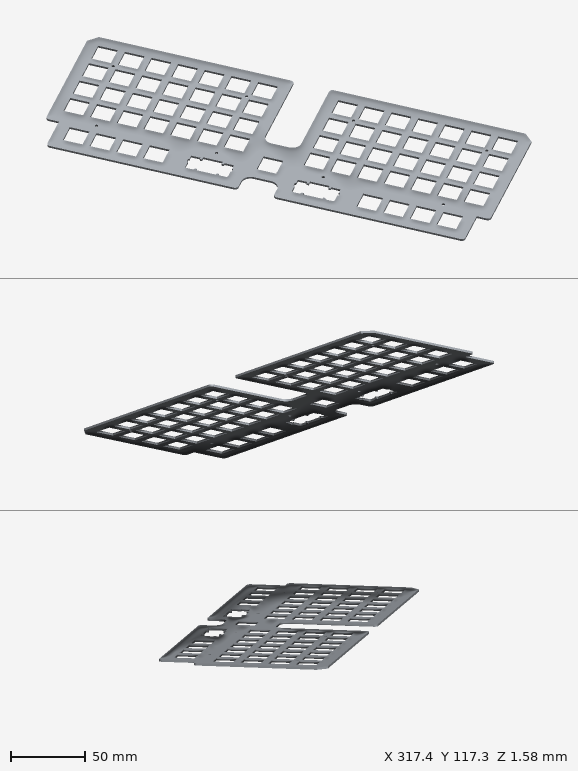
import cadquery as cq

LENGTH = 317.43
WIDTH = 117.35
THICKNESS = 1.58
HALF_LENGTH = LENGTH / 2
HALF_WIDTH = WIDTH / 2

PITCH = 19.055
SWITCH = 14.0
COLUMNS = 7
ROWS = 4
TOP_MARGIN = 15.75
INNER_COLUMN_X = 1.5 * PITCH
OUTER_COLUMN_X = INNER_COLUMN_X + (COLUMNS - 1) * PITCH
SIDE_MARGIN = HALF_LENGTH - OUTER_COLUMN_X
TOP_ROW_Y = HALF_WIDTH - TOP_MARGIN
LAST_ROW_Y = TOP_ROW_Y - (ROWS - 1) * PITCH
BOTTOM_ROW_Y = LAST_ROW_Y - 1.5 * PITCH
CENTER_KEY_Y = (LAST_ROW_Y + BOTTOM_ROW_Y) / 2
BOTTOM_KEY_UNITS = (4, 5, 6, 7)

CORNER_CHAMFER = 6.35
CORNER_RADIUS = 2.5
SLOT_RADIUS = 6.5
SLOT_HALF_WIDTH = INNER_COLUMN_X - SIDE_MARGIN
SLOT_FLOOR_Y = CENTER_KEY_Y + 21.5
NOTCH_TOP_Y = CENTER_KEY_Y - 15.5
STEP_X = HALF_LENGTH - PITCH / 2
STEP_Y = LAST_ROW_Y - 18.6

HOLE_DIAMETER = 2.2
UPPER_HOLE_Y = TOP_ROW_Y - PITCH / 2
HOLE_CENTERS = [
    (2 * PITCH, UPPER_HOLE_Y),
    (7 * PITCH, UPPER_HOLE_Y),
    (2 * PITCH, CENTER_KEY_Y),
    (6.5 * PITCH, CENTER_KEY_Y),
]

STABILIZER_X = 2 * PITCH
WING_OFFSET = 11.9
WING_WIDTH = 6.65
WING_TOP = 6.0
WING_BOTTOM = -7.0
WING_RADIUS = 1.4
NECK_TOP = 4.73
NECK_BOTTOM = -5.6
WIRE_SLOT_HALF_LENGTH = 16.1
WIRE_SLOT_TOP = 2.3
WIRE_SLOT_BOTTOM = -0.5


def with_mirror(points):
    """The points together with their mirror images across the YZ plane."""
    return points + [(-x, y) for x, y in points]


def round_corners(body, corners, radius):
    """Round the vertical edges at the given corners and at their mirror images."""
    for x, y in with_mirror(corners):
        nearest = cq.selectors.NearestToPointSelector((x, y, THICKNESS / 2))
        body = body.edges("|Z").edges(nearest).fillet(radius)
    return body


def block(x_center, width, y_min, y_max):
    """A box through the full plate thickness."""
    center_y = (y_min + y_max) / 2
    return cq.Workplane("XY").center(x_center, center_y).rect(width, y_max - y_min).extrude(THICKNESS)


def plate():
    """The outline: two halves joined by a bridge, with stepped outer ends."""
    slot_floor = (SLOT_HALF_WIDTH, SLOT_FLOOR_Y)
    slot_mouth = (SLOT_HALF_WIDTH, HALF_WIDTH)
    step_tip = (HALF_LENGTH, STEP_Y)
    bottom_corner = (STEP_X, -HALF_WIDTH)
    notch_mouth = (SLOT_HALF_WIDTH, -HALF_WIDTH)
    notch_top = (SLOT_HALF_WIDTH, NOTCH_TOP_Y)
    right_side = [
        slot_floor,
        slot_mouth,
        (HALF_LENGTH - CORNER_CHAMFER, HALF_WIDTH),
        (HALF_LENGTH, HALF_WIDTH - CORNER_CHAMFER),
        step_tip,
        (STEP_X, STEP_Y),
        bottom_corner,
        notch_mouth,
        notch_top,
    ]
    left_side = [(-x, y) for x, y in reversed(right_side)]
    body = cq.Workplane("XY").polyline(right_side + left_side).close().extrude(THICKNESS)
    body = round_corners(body, [slot_floor, notch_top], SLOT_RADIUS)
    return round_corners(body, [slot_mouth, step_tip, bottom_corner, notch_mouth], CORNER_RADIUS)


def switch_openings():
    """Square openings for every plain key."""
    columns = [INNER_COLUMN_X + i * PITCH for i in range(COLUMNS)]
    rows = [TOP_ROW_Y - i * PITCH for i in range(ROWS)]
    centers = [(x, y) for x in columns for y in rows]
    centers += [(units * PITCH, BOTTOM_ROW_Y) for units in BOTTOM_KEY_UNITS]
    centers = with_mirror(centers) + [(0, CENTER_KEY_Y)]
    return cq.Workplane("XY").pushPoints(centers).rect(SWITCH, SWITCH).extrude(THICKNESS)


def stabilizer_opening():
    """Switch square, neck, wire slot and two wings merged into one opening."""
    opening = block(0, SWITCH, -SWITCH / 2, SWITCH / 2)
    opening = opening.union(block(0, 2 * WING_OFFSET, NECK_BOTTOM, NECK_TOP))
    opening = opening.union(block(0, 2 * WIRE_SLOT_HALF_LENGTH, WIRE_SLOT_BOTTOM, WIRE_SLOT_TOP))
    for wing_x in (-WING_OFFSET, WING_OFFSET):
        wing = block(wing_x, WING_WIDTH, WING_BOTTOM, WING_TOP)
        opening = opening.union(wing.edges("|Z and <Y").fillet(WING_RADIUS))
    return opening


def mounting_holes():
    """Small through holes between the keys."""
    centers = with_mirror(HOLE_CENTERS)
    return cq.Workplane("XY").pushPoints(centers).circle(HOLE_DIAMETER / 2).extrude(THICKNESS)


result = plate().cut(switch_openings()).cut(mounting_holes())
for stabilizer_x in (-STABILIZER_X, STABILIZER_X):
    result = result.cut(stabilizer_opening().translate((stabilizer_x, BOTTOM_ROW_Y, 0)))